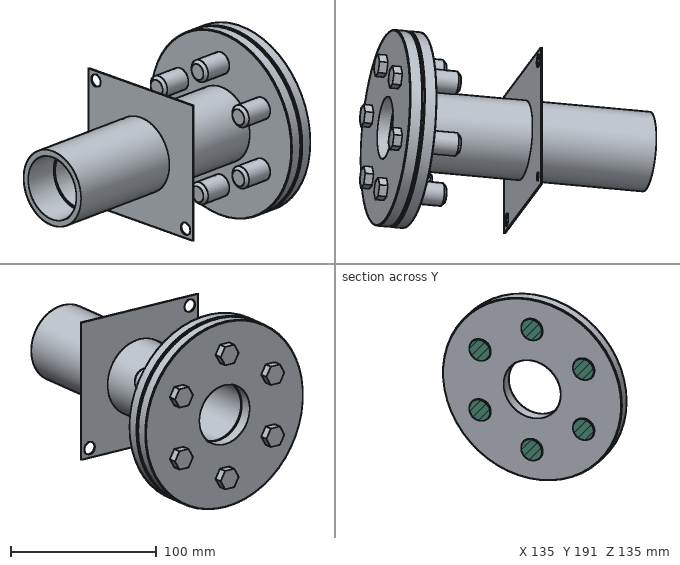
import cadquery as cq
import math

LENGTH = 191.0

BOLT_COUNT = 6
BOLT_CIRCLE_RADIUS = 45.0
BOLT_DIAMETER = 16.0
BOLT_LENGTH = 48.1
BOLT_TIP_CHAMFER = 2.3
HEAD_SIDES = 6
HEAD_HEIGHT = 6.0
HEAD_ACROSS_FLATS = 13.4
HEAD_ACROSS_CORNERS = HEAD_ACROSS_FLATS / math.cos(math.pi / HEAD_SIDES)

FLANGE_DIAMETER = 135.0
FLANGE_THICKNESS = 9.0
FLANGE_GAP = 1.1
FLANGE_CHAMFER = 0.5
REAR_FLANGE_Y = LENGTH - HEAD_HEIGHT - FLANGE_THICKNESS
FRONT_FLANGE_Y = REAR_FLANGE_Y - FLANGE_GAP - FLANGE_THICKNESS

PIPE_DIAMETER = 55.0
BORE_DIAMETER = 43.0
SOCKET_DIAMETER = 46.0
SOCKET_DEPTH = 25.0

PLATE_SIDE = 99.7
PLATE_THICKNESS = 1.0
PLATE_Y = 87.0
LARGE_HOLE_DIAMETER = 9.0
LARGE_HOLE_OFFSET = 42.8
SMALL_HOLE_DIAMETER = 6.0
SMALL_HOLE_OFFSET = 41.5


def section_plane(y):
    """Workplane across the pipe axis: local x is X, local y is Z, extrusion runs toward -Y."""
    return cq.Workplane("XZ", origin=(0, y, 0))


def cylinder(diameter, y_start, y_end):
    return section_plane(y_end).circle(diameter / 2).extrude(y_end - y_start)


def make_flange(y_start):
    disc = cylinder(FLANGE_DIAMETER, y_start, y_start + FLANGE_THICKNESS)
    return disc.edges().chamfer(FLANGE_CHAMFER)


def make_plate():
    """Square plate with holes in three corners: two large ones on a diagonal and a small one."""
    blank = section_plane(PLATE_Y + PLATE_THICKNESS).rect(PLATE_SIDE, PLATE_SIDE).extrude(PLATE_THICKNESS)
    large_hole = cylinder(LARGE_HOLE_DIAMETER, PLATE_Y, PLATE_Y + PLATE_THICKNESS)
    small_hole = cylinder(SMALL_HOLE_DIAMETER, PLATE_Y, PLATE_Y + PLATE_THICKNESS)
    return (
        blank.cut(large_hole.translate((-LARGE_HOLE_OFFSET, 0, LARGE_HOLE_OFFSET)))
        .cut(large_hole.translate((LARGE_HOLE_OFFSET, 0, -LARGE_HOLE_OFFSET)))
        .cut(small_hole.translate((-SMALL_HOLE_OFFSET, 0, -SMALL_HOLE_OFFSET)))
    )


def make_bolt():
    """Bolt on the Y axis; the hexagon has two corners on X and two flats facing Z."""
    head = section_plane(LENGTH).polygon(HEAD_SIDES, HEAD_ACROSS_CORNERS).extrude(HEAD_HEIGHT)
    shank = cylinder(BOLT_DIAMETER, LENGTH - BOLT_LENGTH, LENGTH - HEAD_HEIGHT)
    return head.union(shank.faces("<Y").chamfer(BOLT_TIP_CHAMFER))


def bolt_position(index):
    """Bolts are equally spaced, starting with the one straight above the axis."""
    angle = math.pi / 2 + index * 2 * math.pi / BOLT_COUNT
    return (BOLT_CIRCLE_RADIUS * math.cos(angle), 0, BOLT_CIRCLE_RADIUS * math.sin(angle))


pipe = cylinder(PIPE_DIAMETER, 0, FRONT_FLANGE_Y)
result = pipe.union(make_plate())
for flange_y in (FRONT_FLANGE_Y, REAR_FLANGE_Y):
    result = result.union(make_flange(flange_y))

bolt = make_bolt()
for index in range(BOLT_COUNT):
    result = result.union(bolt.translate(bolt_position(index)))

result = result.cut(cylinder(BORE_DIAMETER, 0, LENGTH))
result = result.cut(cylinder(SOCKET_DIAMETER, 0, SOCKET_DEPTH))